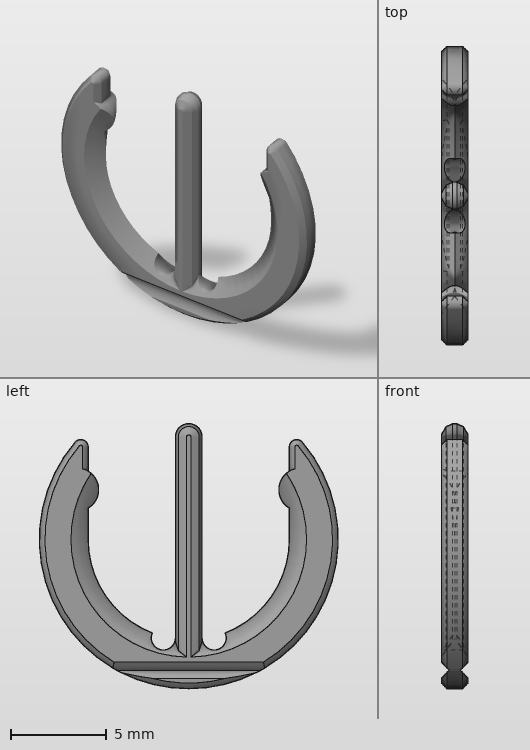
import cadquery as cq
import math

thickness = 1.4
outer_radius = 7.81
edge_chamfer = 0.3
ridge_radius = 5.25
face_radius = 6.15

tip_radius = 0.39
bump_radius = 1.12
bump_y = 5.83
bump_z = 2.6

pin_top = 6.05
pin_radius = 0.7
pin_bottom = -6.4
pin_face_half_width = 0.117
pin_crown_half_width = 0.117
pin_facet_x = 0.45
pin_facet_y = 0.55

relief_radius = 0.62
relief_y = pin_radius + relief_radius
relief_z = -5.15

groove_z = -6.84
groove_half_height = 0.42
groove_depth = 0.4

half_thickness = thickness / 2


def extrude_along_x(sketch):
    """Extrude a closed YZ outline evenly about the mid plane."""
    return sketch.extrude(half_thickness, both=True)


def cylinder_along_x(y, z, radius):
    return extrude_along_x(cq.Workplane("YZ").center(y, z).circle(radius))


def make_arms():
    """Open ring with straight inner sides above the centre and rounded tips."""
    tip_y = ridge_radius + tip_radius
    tip_distance = outer_radius - tip_radius
    tip_z = math.sqrt(tip_distance**2 - tip_y**2)
    touch_y = tip_y * outer_radius / tip_distance
    touch_z = tip_z * outer_radius / tip_distance
    outline = (
        cq.Workplane("YZ")
        .moveTo(touch_y, touch_z)
        .threePointArc((0, -outer_radius), (-touch_y, touch_z))
        .threePointArc((-tip_y, tip_z + tip_radius), (-ridge_radius, tip_z))
        .lineTo(-ridge_radius, 0)
        .threePointArc((0, -ridge_radius), (ridge_radius, 0))
        .lineTo(ridge_radius, tip_z)
        .threePointArc((tip_y, tip_z + tip_radius), (touch_y, touch_z))
        .close()
    )
    blank = extrude_along_x(outline)
    return blank.faces("<X or >X").chamfer(edge_chamfer)


def make_flared_bore():
    """Bore that widens in a straight taper from mid thickness to each face."""
    return (
        cq.Workplane("XY")
        .moveTo(-half_thickness, 0)
        .lineTo(-half_thickness, face_radius)
        .lineTo(0, ridge_radius)
        .lineTo(half_thickness, face_radius)
        .lineTo(half_thickness, 0)
        .close()
        .revolve(360, (0, 0, 0), (1, 0, 0))
    )


def make_pin():
    """Faceted bar whose domed top is its own half section turned about the X direction."""
    half_section = [
        (-half_thickness, 0),
        (-half_thickness, pin_face_half_width),
        (-pin_facet_x, pin_facet_y),
        (-pin_crown_half_width, pin_radius),
        (pin_crown_half_width, pin_radius),
        (pin_facet_x, pin_facet_y),
        (half_thickness, pin_face_half_width),
        (half_thickness, 0),
    ]
    shoulder_z = pin_top - pin_radius
    shoulder = cq.Workplane("XY", origin=(0, 0, shoulder_z))
    dome = shoulder.polyline(half_section).close().revolve(360, (0, 0, 0), (1, 0, 0))
    half_bar = shoulder.polyline(half_section).close().extrude(pin_bottom - shoulder_z)
    bar = half_bar.union(half_bar.mirror("XZ"))
    return bar.union(dome)


def make_groove(side):
    """V-shaped cut across one face; side is -1 or 1 along X."""
    face_x = side * half_thickness
    return (
        cq.Workplane("XZ")
        .moveTo(face_x, groove_z - groove_half_height)
        .lineTo(face_x - side * groove_depth, groove_z)
        .lineTo(face_x, groove_z + groove_half_height)
        .close()
        .extrude(outer_radius, both=True)
    )


result = make_arms()
for side in (-1, 1):
    result = result.union(cylinder_along_x(side * bump_y, bump_z, bump_radius))
result = result.cut(make_flared_bore())
for side in (-1, 1):
    result = result.cut(cylinder_along_x(side * relief_y, relief_z, relief_radius))
result = result.union(make_pin())
for side in (-1, 1):
    result = result.cut(make_groove(side))